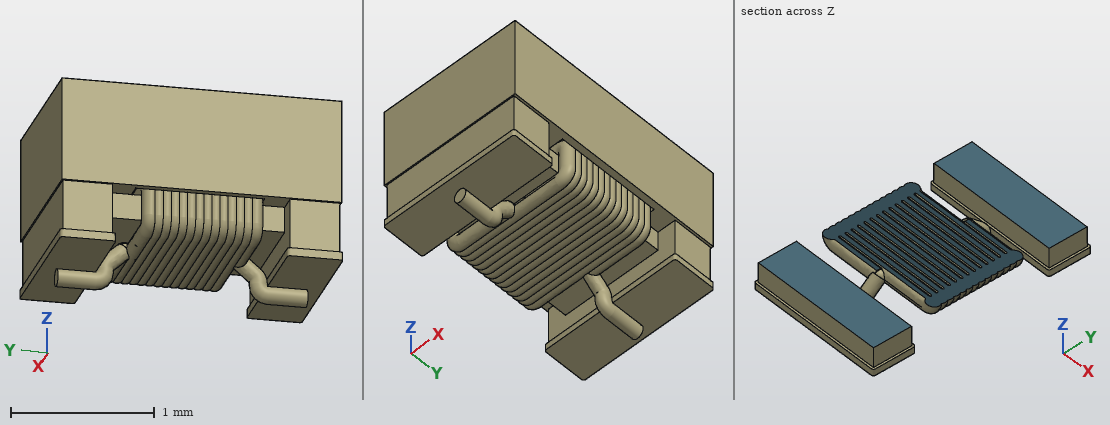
import cadquery as cq
import math

WIRE_WIDTH = 0.11
WIRE_HEIGHT = 0.127
INNER_BEND_RADIUS = 0.001
BEND_RADIUS = WIRE_HEIGHT / 2 + INNER_BEND_RADIUS

PLATE_BOTTOM = WIRE_HEIGHT
PLATE_THICKNESS = 0.06
PLATE_TOP = PLATE_BOTTOM + PLATE_THICKNESS
COVER_BOTTOM = 0.556
COVER_HEIGHT = 0.754

COVER_WIDTH = 1.26
COVER_LENGTH = 2.0

CORE_WIDTH = 1.22
CORE_LENGTH = 1.98
LEG_LENGTH = 0.355
WEB_WIDTH = 0.89
WEB_HEIGHT = 0.186
WEB_BOTTOM = COVER_BOTTOM - WEB_HEIGHT
LEG_HEIGHT = COVER_BOTTOM - PLATE_TOP
LEG_CENTER_Y = (CORE_LENGTH - LEG_LENGTH) / 2

PLATE_MARGIN = 0.02
PLATE_INNER_Y = CORE_LENGTH / 2 - LEG_LENGTH - PLATE_MARGIN

FULL_TURNS = 13
TURN_PITCH = 0.058
HALF_TURN_Y = (FULL_TURNS + 1) / 2 * TURN_PITCH
TURN_HALF_WIDTH = WEB_WIDTH / 2 + BEND_RADIUS
TURN_BOTTOM = WEB_BOTTOM - BEND_RADIUS
TURN_TOP = COVER_BOTTOM + BEND_RADIUS

LEAD_SLOPE = math.radians(41)
LEAD_RISER_Y = PLATE_INNER_Y - BEND_RADIUS
TAIL_END_Y = 0.894


def block(width, length, height, center_y, bottom):
    return cq.Workplane("XY").box(width, length, height, (True, True, False)).translate((0, center_y, bottom))


def make_core():
    core = block(WEB_WIDTH, CORE_LENGTH - 2 * LEG_LENGTH, WEB_HEIGHT, 0, WEB_BOTTOM)
    for side in (-1, 1):
        core = core.union(block(CORE_WIDTH, LEG_LENGTH, LEG_HEIGHT, side * LEG_CENTER_Y, PLATE_TOP))
    return core


def make_plate(side):
    width = CORE_WIDTH + 2 * PLATE_MARGIN
    length = LEG_LENGTH + 2 * PLATE_MARGIN
    plate = block(width, length, PLATE_THICKNESS, side * LEG_CENTER_Y, PLATE_BOTTOM)
    return plate.edges("|Z").fillet(PLATE_MARGIN)


def wire_section(plane, center_y, center_z):
    return cq.Workplane(plane, origin=(0, center_y, center_z)).ellipse(WIRE_WIDTH / 2, WIRE_HEIGHT / 2)


def ribbed_section():
    """The merged outline of a row of wire sections: one elliptical arc per rib, meeting at cusps."""
    cusp_angle = math.degrees(math.acos(TURN_PITCH / WIRE_WIDTH))
    row_end = (FULL_TURNS - 1) / 2 * TURN_PITCH + WIRE_WIDTH / 2
    inner_ribs = FULL_TURNS - 2
    arcs = [(180, 360 - cusp_angle)]
    arcs += [(180 + cusp_angle, 360 - cusp_angle)] * inner_ribs
    arcs += [(180 + cusp_angle, 540 - cusp_angle)]
    arcs += [(cusp_angle, 180 - cusp_angle)] * inner_ribs
    arcs += [(cusp_angle, 180)]
    section = cq.Workplane("YZ", origin=(0, 0, TURN_BOTTOM)).moveTo(-row_end, 0)
    for start, end in arcs:
        section = section.ellipseArc(WIRE_WIDTH / 2, WIRE_HEIGHT / 2, start, end, startAtCurrent=True)
    return section.close()


def half_turn_path(center_y):
    """The +X half of one turn, from bottom to top, with quarter bends about the web edges."""
    return (
        cq.Workplane("XZ", origin=(0, center_y, 0))
        .moveTo(0, TURN_BOTTOM)
        .lineTo(WEB_WIDTH / 2, TURN_BOTTOM)
        .tangentArcPoint((TURN_HALF_WIDTH, WEB_BOTTOM), relative=False)
        .lineTo(TURN_HALF_WIDTH, COVER_BOTTOM)
        .tangentArcPoint((WEB_WIDTH / 2, TURN_TOP), relative=False)
        .lineTo(0, TURN_TOP)
    )


def make_full_turns():
    """The full turns swept together round a closed loop."""
    path = (
        half_turn_path(0)
        .lineTo(-WEB_WIDTH / 2, TURN_TOP)
        .tangentArcPoint((-TURN_HALF_WIDTH, COVER_BOTTOM), relative=False)
        .lineTo(-TURN_HALF_WIDTH, WEB_BOTTOM)
        .tangentArcPoint((-WEB_WIDTH / 2, TURN_BOTTOM), relative=False)
        .close()
    )
    return ribbed_section().sweep(path)


def make_half_turn():
    """The half turn on the +X side that follows the last full turn at the +Y end."""
    return wire_section("YZ", HALF_TURN_Y, TURN_BOTTOM).sweep(half_turn_path(HALF_TURN_Y))


def make_lead():
    """The +Y lead: slopes down from the coil, bends upright beside the plate and turns under it as a tail."""
    tail_z = WIRE_HEIGHT / 2
    riser_bottom = tail_z + BEND_RADIUS
    slope_run = LEAD_RISER_Y - HALF_TURN_Y
    slope_corner = TURN_BOTTOM - slope_run * math.tan(LEAD_SLOPE)
    bend_angle = math.pi / 2 - LEAD_SLOPE
    bend_reach = BEND_RADIUS * math.tan(bend_angle / 2)
    slope_end_y = LEAD_RISER_Y - bend_reach * math.cos(LEAD_SLOPE)
    slope_end_z = slope_corner + bend_reach * math.sin(LEAD_SLOPE)
    path = (
        cq.Workplane("YZ")
        .moveTo(TAIL_END_Y, tail_z)
        .lineTo(PLATE_INNER_Y, tail_z)
        .tangentArcPoint((LEAD_RISER_Y, riser_bottom), relative=False)
        .lineTo(LEAD_RISER_Y, slope_corner - bend_reach)
        .tangentArcPoint((slope_end_y, slope_end_z), relative=False)
        .lineTo(HALF_TURN_Y, TURN_BOTTOM)
    )
    lead = wire_section("XZ", TAIL_END_Y, tail_z).sweep(path)
    joint = cq.Workplane("XY").sphere(WIRE_WIDTH / 2).translate((0, HALF_TURN_Y, TURN_BOTTOM))
    return lead.union(joint)


def make_winding():
    """Full turns with a half turn and a lead at each end, the ends half a revolution apart."""
    winding = make_full_turns()
    for piece in (make_half_turn(), make_lead()):
        for angle in (0, 180):
            winding = winding.union(piece.rotate((0, 0, 0), (0, 0, 1), angle), clean=False)
    return winding


def make_cover():
    """A block with a pocket underneath for the top of the winding."""
    cover = block(COVER_WIDTH, COVER_LENGTH, COVER_HEIGHT, 0, COVER_BOTTOM)
    pocket_width = 2 * TURN_HALF_WIDTH + WIRE_HEIGHT
    pocket_length = 2 * HALF_TURN_Y + WIRE_WIDTH
    pocket_depth = BEND_RADIUS + WIRE_HEIGHT / 2
    return cover.cut(block(pocket_width, pocket_length, pocket_depth, 0, COVER_BOTTOM))


core = make_core()
cover = make_cover()
winding = make_winding()
plates = [make_plate(side) for side in (-1, 1)]

result = cq.Compound.makeCompound(
    [core.val(), cover.val(), *winding.vals(), *[plate.val() for plate in plates]]
)